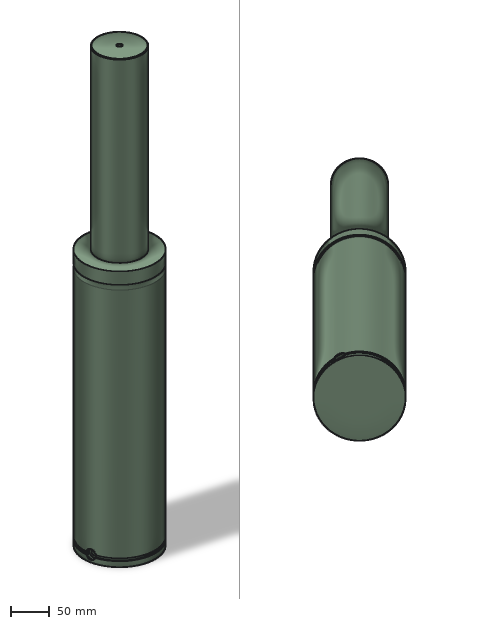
import cadquery as cq

total_height = 740.0
body_diameter = 120.0
body_height = 438.0
rod_diameter = 75.0
rod_chamfer = 1.1

groove_depth = 2.0
lower_groove_bottom = 9.0
lower_groove_top = 13.0
upper_groove_bottom = body_height - 27.5
upper_groove_top = body_height - 20.0

rod_hole_diameter = 6.8
rod_hole_mouth_diameter = 8.0
rod_hole_depth = 15.0

port_height = 12.0
port_mouth_diameter = 16.0
port_seat_diameter = 14.0
port_bore_diameter = 6.8
port_seat_depth = 6.0
port_bore_depth = 15.0


def cylinder(diameter, bottom, top):
    return cq.Workplane("XY").workplane(offset=bottom).circle(diameter / 2).extrude(top - bottom)


def square_groove(bottom, top):
    floor_diameter = body_diameter - 2 * groove_depth
    return cylinder(body_diameter + 7.5, bottom, top).cut(cylinder(floor_diameter, bottom, top))


def sloped_groove(bottom, top):
    """Ring groove with a flat upper wall and a conical lower wall."""
    body_radius = body_diameter / 2
    section = cq.Workplane("XZ").polyline(
        [(body_radius, bottom), (body_radius - groove_depth, top), (body_radius, top)]
    )
    return section.close().revolve(360, (0, 0, 0), (0, 1, 0))


def countersink(plane, mouth_diameter, hole_diameter):
    """45 degree cone that narrows from the mouth to the hole, along -normal of the plane."""
    depth = (mouth_diameter - hole_diameter) / 2
    return cq.Workplane(plane).circle(mouth_diameter / 2).extrude(-depth, taper=45)


def rod_end_hole():
    end_plane = cq.Plane(origin=(0, 0, total_height), xDir=(1, 0, 0), normal=(0, 0, 1))
    bore = cq.Workplane(end_plane).circle(rod_hole_diameter / 2).extrude(-rod_hole_depth)
    return bore.union(countersink(end_plane, rod_hole_mouth_diameter, rod_hole_diameter))


def gas_port():
    side_plane = cq.Plane(origin=(0, -body_diameter / 2, port_height), xDir=(1, 0, 0), normal=(0, -1, 0))
    seat = cq.Workplane(side_plane).circle(port_seat_diameter / 2).extrude(-port_seat_depth)
    bore = cq.Workplane(side_plane).circle(port_bore_diameter / 2).extrude(-port_bore_depth)
    return seat.union(bore).union(countersink(side_plane, port_mouth_diameter, port_seat_diameter))


body = cylinder(body_diameter, 0, body_height)
body = body.cut(square_groove(lower_groove_bottom, lower_groove_top))
body = body.cut(sloped_groove(upper_groove_bottom, upper_groove_top))
body = body.cut(gas_port())

rod = cylinder(rod_diameter, body_height, total_height).faces(">Z").edges().chamfer(rod_chamfer)
rod = rod.cut(rod_end_hole())

result = body.union(rod)